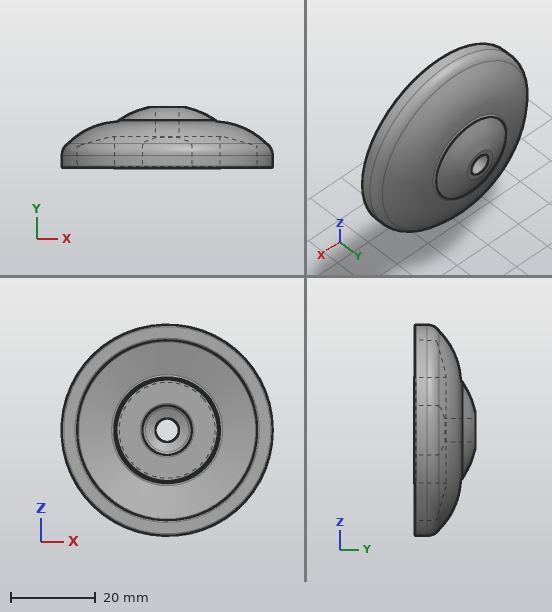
import cadquery as cq


outer_radius = 25.0
height = 14.6

rim_front = 0.15
rim_side_end = 3.15
rim_inner_radius = 21.3

shoulder_radius, shoulder_y = 23.55, 5.9
dome_mid_radius, dome_mid_y = 18.75, 9.35
dome_end_radius, dome_end_y = 12.0, 11.15
cap_radius, cap_y = 11.35, 11.55
cap_mid_radius, cap_mid_y = 8.0, 13.35
cap_flat_radius = 4.15

hub_radius = 12.5
hub_face_radius = 12.0
hub_face_y = 0.5
recess_outer_y = 5.35
recess_slope = 0.28
recess_inner_y = recess_outer_y + recess_slope * (rim_inner_radius - hub_radius)

bore_radius = 5.85
hole_radius = 2.75
bore_outer_y = 6.1
bore_floor_slope = 0.4
bore_inner_y = bore_outer_y + bore_floor_slope * (bore_radius - hole_radius)

edge_round = 0.5
bore_floor_round = 1.1


def make_sharp_body():
    """Whole section revolved about Y, before the front edges are rounded."""
    front = (
        cq.Workplane("XY")
        .moveTo(hole_radius, height)
        .lineTo(hole_radius, bore_inner_y)
        .lineTo(bore_radius, bore_outer_y)
        .lineTo(bore_radius, hub_face_y)
        .lineTo(hub_face_radius, hub_face_y)
        .lineTo(hub_radius, 0)
        .lineTo(hub_radius, recess_inner_y)
        .lineTo(rim_inner_radius, recess_outer_y)
        .lineTo(rim_inner_radius, rim_front)
        .lineTo(outer_radius, rim_front)
    )
    profile = (
        front.lineTo(outer_radius, rim_side_end)
        .tangentArcPoint((shoulder_radius, shoulder_y), relative=False)
        .threePointArc((dome_mid_radius, dome_mid_y), (dome_end_radius, dome_end_y))
        .tangentArcPoint((cap_radius, cap_y), relative=False)
        .threePointArc((cap_mid_radius, cap_mid_y), (cap_flat_radius, height))
        .close()
    )
    return profile.revolve(360, (0, 0, 0), (0, 1, 0))


def round_edge(body, radius, y, fillet_radius):
    """Fillet the circular edge of the given radius at the given y."""
    tolerance = 0.005

    def is_wanted(edge):
        if edge.geomType() != "CIRCLE":
            return False
        same_radius = abs(edge.radius() - radius) < tolerance
        return same_radius and abs(edge.arcCenter().y - y) < tolerance

    return body.edges().filter(is_wanted).fillet(fillet_radius)


result = make_sharp_body()
for radius, y, fillet_radius in (
    (outer_radius, rim_front, edge_round),
    (rim_inner_radius, rim_front, edge_round),
    (bore_radius, hub_face_y, edge_round),
    (rim_inner_radius, recess_outer_y, edge_round),
    (hub_radius, recess_inner_y, edge_round),
    (bore_radius, bore_outer_y, bore_floor_round),
):
    result = round_edge(result, radius, y, fillet_radius)